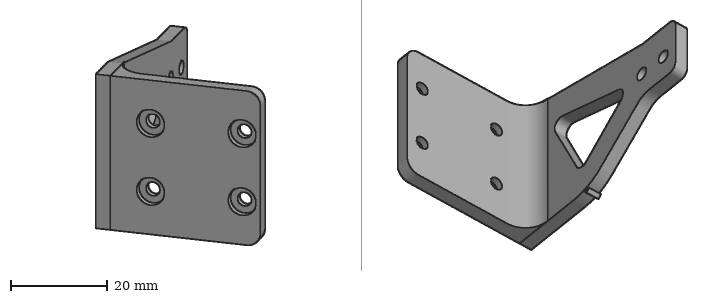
import cadquery as cq

thickness = 3.2
arm_length = 50.8
plate_length = 36.0
height = 34.0
overall_height = 34.8
inner_fillet_radius = 6.0

tip_bottom = 13.9
tip_top = 28.0
tip_corner_radius = 2.0
tip_root_y = 40.15
upper_slope_end_y = 8.05
lower_slope_end_y = 22.55
tip_bend_radius = 6.0
lower_bend_radius = 14.0

window_corners = [(9.75, 27.05), (35.9, 19.6), (19.7, 6.3)]
window_corner_radius = 2.0

hole_diameter = 3.0
tip_hole_end_distance = 4.0
tip_hole_spacing = 7.0
tip_hole_z = 19.9
counterbore_diameter = 6.05
counterbore_depth = 1.6
plate_hole_first_x = 12.0
plate_hole_first_z = 9.5
plate_hole_spacing_x = 20.0
plate_hole_spacing_z = 15.0

plate_corner_radius = 3.0

wedge_depth = overall_height - height
wedge_half_width = wedge_depth
wedge_center_y = 21.9


def round_edge_at(body, y, z, radius):
    """Round the edge parallel to X that passes through (y, z)."""
    edge = cq.selectors.NearestToPointSelector((thickness / 2, y, z))
    return body.edges("|X").edges(edge).fillet(radius)


def make_window():
    """Rounded triangular prism that cuts through the arm."""
    prism = cq.Workplane("YZ").polyline(window_corners).close().extrude(thickness)
    return prism.edges("|X").fillet(window_corner_radius)


def make_arm():
    outline = [
        (0, 0),
        (lower_slope_end_y, 0),
        (tip_root_y, tip_bottom),
        (arm_length, tip_bottom),
        (arm_length, tip_top),
        (tip_root_y, tip_top),
        (upper_slope_end_y, height),
        (0, height),
    ]
    arm = cq.Workplane("YZ").polyline(outline).close().extrude(thickness)
    arm = round_edge_at(arm, lower_slope_end_y, 0, lower_bend_radius)
    arm = round_edge_at(arm, tip_root_y, tip_bottom, tip_bend_radius)
    arm = arm.edges("|X and >Y").fillet(tip_corner_radius)

    outer_hole_y = arm_length - tip_hole_end_distance
    hole_centers = [(outer_hole_y, tip_hole_z), (outer_hole_y - tip_hole_spacing, tip_hole_z)]
    tip_holes = (
        cq.Workplane("YZ").pushPoints(hole_centers).circle(hole_diameter / 2).extrude(thickness)
    )
    return arm.cut(make_window()).cut(tip_holes)


def make_plate():
    """Mounting plate whose inner side flares into the arm with a concave fillet."""
    flare_end = thickness + inner_fillet_radius
    plate = (
        cq.Workplane("XY")
        .moveTo(thickness, 0)
        .lineTo(plate_length, 0)
        .lineTo(plate_length, thickness)
        .lineTo(flare_end, thickness)
        .radiusArc((thickness, flare_end), inner_fillet_radius)
        .close()
        .extrude(height)
    )
    plate = plate.edges("|Y and >X").fillet(plate_corner_radius)

    hole_centers = [
        (x, z)
        for x in (plate_hole_first_x, plate_hole_first_x + plate_hole_spacing_x)
        for z in (plate_hole_first_z, plate_hole_first_z + plate_hole_spacing_z)
    ]
    holes = cq.Workplane("XZ").pushPoints(hole_centers)
    bores = holes.circle(hole_diameter / 2).extrude(-thickness)
    counterbores = holes.circle(counterbore_diameter / 2).extrude(-counterbore_depth)
    return plate.cut(bores).cut(counterbores)


def make_wedge():
    """Triangular sliver as wide as the arm is thick, pointing down from Z = 0."""
    corners = [
        (wedge_center_y - wedge_half_width, 0),
        (wedge_center_y + wedge_half_width, 0),
        (wedge_center_y, -wedge_depth),
    ]
    return cq.Workplane("YZ").polyline(corners).close().extrude(thickness)


arm = make_arm()
plate = make_plate()
wedge = make_wedge()

result = cq.Compound.makeCompound([arm.solids().val(), plate.solids().val(), wedge.val()])